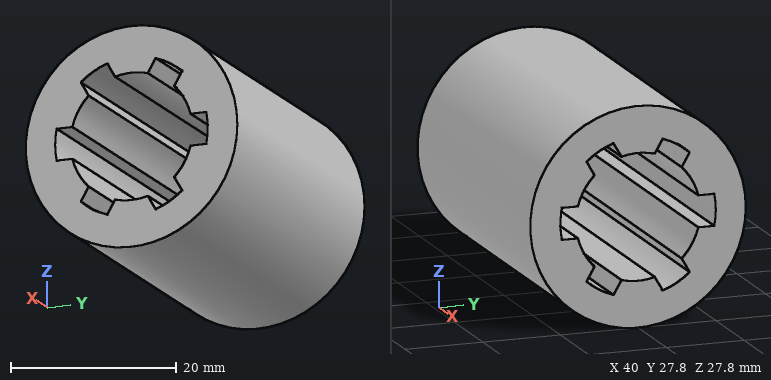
import cadquery as cq

length = 40.0
outer_diameter = 27.75
bore_diameter = 16.0
groove_diameter = 20.0
groove_width = 4.0
groove_count = 6


def cylinder(diameter):
    """Solid cylinder of the sleeve's length along X."""
    return cq.Workplane("YZ", origin=(-length / 2, 0, 0)).circle(diameter / 2).extrude(length)


def groove_slabs():
    """Slabs through the axis; each one forms a pair of opposite grooves."""
    slab = cq.Workplane("XY").box(length, groove_diameter, groove_width)
    slabs = slab
    for index in range(1, groove_count // 2):
        angle = index * 360 / groove_count
        slabs = slabs.union(slab.rotate((0, 0, 0), (1, 0, 0), angle))
    return slabs


grooves = groove_slabs().intersect(cylinder(groove_diameter))
result = cylinder(outer_diameter).cut(cylinder(bore_diameter)).cut(grooves)